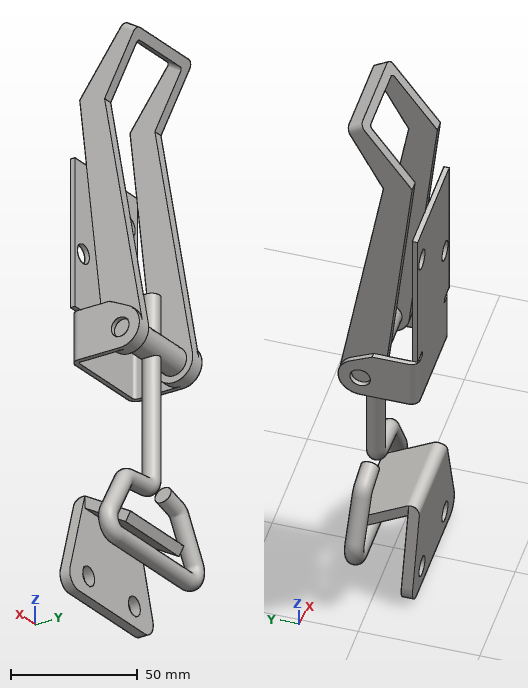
import cadquery as cq
import math


bracket_width = 44.7
sheet = 2.2
bracket_bottom = 102.1
bracket_top = 191.5
sheet_bend_radius = 3.7
ear_top = 123.8
ear_shoulder_y = 18.7
relief_height = 2.2
relief_depth = 6.7
relief_corner_radius = 1.0

screw_hole_radius = 4.2
screw_hole_x = 16.3
upper_screw_z = 176.6
lower_screw_z = 151.5
keeper_screw_z = 9.1

pivot_y = 23.7
pivot_radius = 9.1
pivot_z = bracket_bottom + pivot_radius
pivot_hole_radius = 4.2
barrel_radius = 6.2

lever_width = bracket_width - 2 * sheet
lever_thickness = 4.5
lever_corner_radius = 3.0
lever_inner_radius = 1.5
lever_front_knee = (3.0, 217.3)
lever_back_knee = (14.8, 214.9)
lever_front_tip = (24.2, 246.7)
lever_back_tip = (29.8, 243.2)

wire_radius = 7.6 / 2
wire_top = 133.2
wire_elbow_z = 48.8
shoulder_x = 19.0
shoulder_z = 46.6
loop_corner_x = 35.3
loop_bar_z = 18.7
stub_end = (-8.1, 49.5)
elbow_radius = 5.0
loop_radius = 6.0

keeper_thickness = 4.7
keeper_base_half_width = 31.8
keeper_fold_half_width = 19.0
keeper_height = 43.5
keeper_corner_radius = 6.2
keeper_fold_radius = 3.7
flange_reach = 21.7
flange_slope = 30.0


def tangent_point(point, center, radius, side):
    """Point where a line from `point` touches a circle; `side` (+1 or -1) picks which one."""
    dy = point[0] - center[0]
    dz = point[1] - center[1]
    angle = math.atan2(dz, dy) + side * math.acos(radius / math.hypot(dy, dz))
    return center[0] + radius * math.cos(angle), center[1] + radius * math.sin(angle)


def across(width):
    """YZ sketch plane from which an extrusion by `width` is centred on x = 0."""
    return cq.Workplane("YZ", origin=(-width / 2, 0, 0))


def cylinder_across(radius, width):
    return across(width).center(pivot_y, pivot_z).circle(radius).extrude(width)


def screw_holes(centers, thickness):
    """Cutters through a sheet lying on the plane y = 0."""
    return cq.Workplane("XZ").pushPoints(centers).circle(screw_hole_radius).extrude(-thickness)


def make_bracket():
    pivot = (pivot_y, pivot_z)
    shoulder = (ear_shoulder_y, ear_top)
    slope_end = tangent_point(shoulder, pivot, pivot_radius, -1)
    channel = (
        across(bracket_width)
        .moveTo(0, bracket_bottom)
        .lineTo(pivot_y, bracket_bottom)
        .threePointArc((pivot_y + pivot_radius, pivot_z), slope_end)
        .lineTo(*shoulder)
        .lineTo(0, ear_top)
        .close()
        .extrude(bracket_width)
        .edges("|Z and <Y")
        .fillet(sheet_bend_radius)
    )
    inside_size = 2 * (pivot_y + pivot_radius)
    inside = (
        cq.Workplane("XY", origin=(0, sheet + inside_size / 2, bracket_bottom))
        .rect(lever_width, inside_size)
        .extrude(ear_top - bracket_bottom)
        .edges("|Z and <Y")
        .fillet(sheet_bend_radius - sheet)
    )
    ears = channel.cut(inside).cut(cylinder_across(pivot_hole_radius, bracket_width))

    plate = (
        cq.Workplane("XY")
        .box(bracket_width, sheet, bracket_top - ear_top, centered=(True, False, False))
        .translate((0, 0, ear_top))
    )
    for side in (-1, 1):
        relief = (
            cq.Workplane("XY")
            .box(2 * relief_depth, sheet, relief_height, centered=(True, False, False))
            .translate((side * bracket_width / 2, 0, ear_top))
            .edges("|Y and >Z")
            .fillet(relief_corner_radius)
        )
        plate = plate.cut(relief)
    holes = [(-screw_hole_x, upper_screw_z), (screw_hole_x, lower_screw_z)]
    return plate.union(ears).cut(screw_holes(holes, sheet))


def make_lever():
    pivot = (pivot_y, pivot_z)
    front_foot = tangent_point(lever_front_knee, pivot, pivot_radius, 1)
    back_foot = tangent_point(lever_back_knee, pivot, pivot_radius, -1)
    side_profile = (
        across(lever_width)
        .moveTo(*lever_front_tip)
        .lineTo(*lever_front_knee)
        .lineTo(*front_foot)
        .threePointArc((pivot_y, pivot_z - pivot_radius), back_foot)
        .lineTo(*lever_back_knee)
        .lineTo(*lever_back_tip)
        .close()
        .extrude(lever_width)
    )

    handle_direction = cq.Vector(
        0, lever_front_tip[0] - lever_back_tip[0], lever_front_tip[1] - lever_back_tip[1]
    )
    strap_length = 2 * (lever_back_tip[1] - bracket_bottom)
    strap_plane = cq.Plane(
        origin=(0, *lever_back_tip), xDir=(1, 0, 0), normal=handle_direction
    )
    window_length = strap_length - lever_thickness
    strap = (
        cq.Workplane(strap_plane)
        .center(0, -strap_length / 2)
        .rect(lever_width, strap_length)
        .extrude(strap_length, both=True)
        .edges(cq.selectors.ParallelDirSelector(handle_direction))
        .fillet(lever_corner_radius)
    )
    window = (
        cq.Workplane(strap_plane)
        .center(0, -lever_thickness - window_length / 2)
        .rect(lever_width - 2 * lever_thickness, window_length)
        .extrude(strap_length, both=True)
        .edges(cq.selectors.ParallelDirSelector(handle_direction))
        .fillet(lever_inner_radius)
    )
    return side_profile.intersect(strap.cut(window))


def rounded_path(start, corners, end):
    """Wire path in the plane y = pivot_y; each corner is (x, z, bend radius)."""
    points = [start, *[(x, z) for x, z, _ in corners], end]
    points = [cq.Vector(x, pivot_y, z) for x, z in points]
    edges = []
    here = points[0]
    for before, corner, after, (_, _, radius) in zip(points, points[1:], points[2:], corners):
        back = (before - corner).normalized()
        ahead = (after - corner).normalized()
        half_angle = back.getAngle(ahead) / 2
        setback = radius / math.tan(half_angle)
        bisector = (back + ahead).normalized()
        bend_start = corner + back * setback
        bend_middle = corner + bisector * (radius / math.sin(half_angle) - radius)
        bend_end = corner + ahead * setback
        edges.append(cq.Edge.makeLine(here, bend_start))
        edges.append(cq.Edge.makeThreePointArc(bend_start, bend_middle, bend_end))
        here = bend_end
    edges.append(cq.Edge.makeLine(here, points[-1]))
    return cq.Wire.assembleEdges(edges)


def make_wire_hook():
    corners = [
        (0, wire_elbow_z, elbow_radius),
        (shoulder_x, shoulder_z, elbow_radius),
        (loop_corner_x, loop_bar_z, loop_radius),
        (-loop_corner_x, loop_bar_z, loop_radius),
        (-shoulder_x, shoulder_z, elbow_radius),
    ]
    path = rounded_path((0, wire_top), corners, stub_end)
    return (
        cq.Workplane("XY", origin=(0, pivot_y, wire_top))
        .circle(wire_radius)
        .sweep(cq.Workplane("XY").newObject([path]))
    )


def make_latch():
    barrel = cylinder_across(barrel_radius, lever_width - 2 * lever_thickness)
    return make_bracket().union(make_lever()).union(barrel).union(make_wire_hook())


def keeper_side_profile():
    """Keeper bent from one sheet: an upright, a rounded outer fold and a flange sloping down."""
    slope = math.radians(flange_slope)
    fold_y = keeper_fold_radius
    fold_z = keeper_height - keeper_fold_radius

    def on_fold(angle):
        return fold_y + keeper_fold_radius * math.cos(angle), fold_z + keeper_fold_radius * math.sin(angle)

    def flange_top_z(y):
        return fold_z + keeper_fold_radius / math.cos(slope) - (y - fold_y) * math.tan(slope)

    fold_end_angle = math.pi / 2 - slope
    tip_y = keeper_thickness + flange_reach
    tip_top = (tip_y, flange_top_z(tip_y))
    tip_bottom = (
        tip_top[0] - keeper_thickness * math.sin(slope),
        tip_top[1] - keeper_thickness * math.cos(slope),
    )
    inner_corner_z = flange_top_z(keeper_thickness) - keeper_thickness / math.cos(slope)
    return (
        across(2 * keeper_base_half_width)
        .lineTo(0, fold_z)
        .threePointArc(on_fold((math.pi + fold_end_angle) / 2), on_fold(fold_end_angle))
        .lineTo(*tip_top)
        .lineTo(*tip_bottom)
        .lineTo(keeper_thickness, inner_corner_z)
        .lineTo(keeper_thickness, 0)
        .close()
        .extrude(2 * keeper_base_half_width)
    )


def make_keeper():
    upright_outline = (
        cq.Workplane("XZ")
        .polyline(
            [
                (-keeper_base_half_width, 0),
                (keeper_base_half_width, 0),
                (keeper_fold_half_width, keeper_height),
                (-keeper_fold_half_width, keeper_height),
            ]
        )
        .close()
        .extrude(-keeper_thickness)
        .edges("|Y and <Z")
        .fillet(keeper_corner_radius)
    )
    flange_outline = (
        cq.Workplane("XY")
        .box(2 * keeper_fold_half_width, flange_reach, keeper_height, centered=(True, False, False))
        .translate((0, keeper_thickness, 0))
    )
    holes = [(-screw_hole_x, keeper_screw_z), (screw_hole_x, keeper_screw_z)]
    outline = upright_outline.union(flange_outline)
    return keeper_side_profile().intersect(outline).cut(screw_holes(holes, keeper_thickness))


latch = make_latch()
keeper = make_keeper()
result = cq.Compound.makeCompound([latch.val(), keeper.val()])